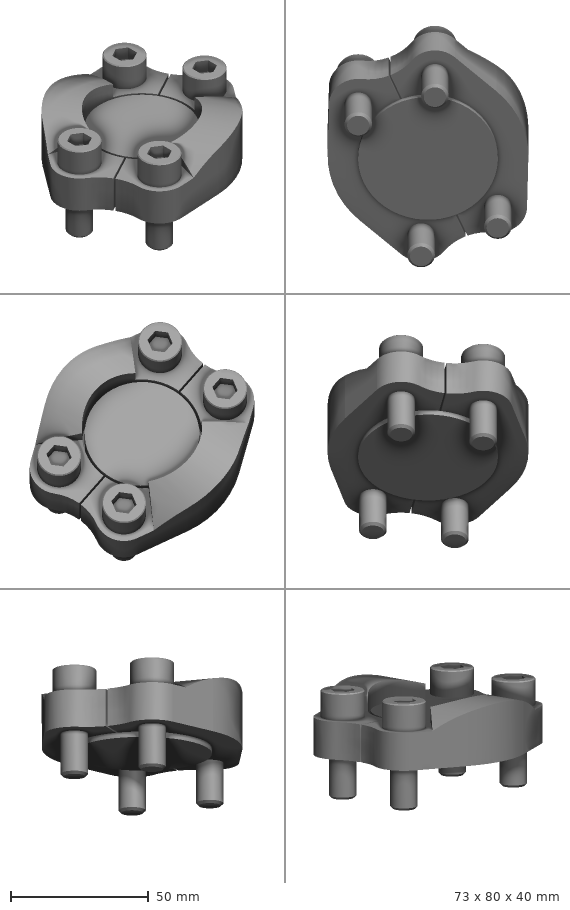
import cadquery as cq
import math

plate_height = 14.0
outer_radius = 36.5
slit_width = 0.8
bore_radius = 21.8

bolt_x = 15.1
bolt_y = 29.4
overall_length = 80.0
lug_radius = overall_length / 2 - bolt_y
waist_radius = 20.0

arch_height = 22.0
arch_radius = 52.0

rim_diameter = 50.8
rim_thickness = 2.0
neck_diameter = 41.7
collar_diameter = 44.0
collar_height = 4.9
collar_foot_diameter = 44.7
collar_foot_height = 1.5

shank_diameter = 10.0
shank_length = 16.0
shank_chamfer = 1.0
head_diameter = 16.0
head_height = 10.0
head_chamfer = 0.4
hex_across_flats = 8.0
hex_depth = 5.0


def outline():
    """Closed plate outline: side arcs, straight flanks, round lugs and concave waists."""
    bolt_distance = math.hypot(bolt_x, bolt_y)
    flank_angle = math.atan2(bolt_y, bolt_x) - math.acos((outer_radius - lug_radius) / bolt_distance)
    flank_cos = math.cos(flank_angle)
    flank_sin = math.sin(flank_angle)
    arc_x, arc_y = outer_radius * flank_cos, outer_radius * flank_sin
    lug_x, lug_y = bolt_x + lug_radius * flank_cos, bolt_y + lug_radius * flank_sin

    center_distance = lug_radius + waist_radius
    waist_center_y = bolt_y + math.sqrt(center_distance**2 - bolt_x**2)
    waist_x = bolt_x * waist_radius / center_distance
    waist_y = bolt_y + (waist_center_y - bolt_y) * lug_radius / center_distance
    waist_low_y = waist_center_y - waist_radius
    lug_top_y = bolt_y + lug_radius

    return (
        cq.Workplane("XY")
        .moveTo(arc_x, -arc_y)
        .threePointArc((outer_radius, 0), (arc_x, arc_y))
        .lineTo(lug_x, lug_y)
        .threePointArc((bolt_x, lug_top_y), (waist_x, waist_y))
        .threePointArc((0, waist_low_y), (-waist_x, waist_y))
        .threePointArc((-bolt_x, lug_top_y), (-lug_x, lug_y))
        .lineTo(-arc_x, arc_y)
        .threePointArc((-outer_radius, 0), (-arc_x, -arc_y))
        .lineTo(-lug_x, -lug_y)
        .threePointArc((-bolt_x, -lug_top_y), (-waist_x, -waist_y))
        .threePointArc((0, -waist_low_y), (waist_x, -waist_y))
        .threePointArc((bolt_x, -lug_top_y), (lug_x, -lug_y))
        .close()
    )


def shoulders():
    """Arched material inside the two 90 degree sectors that face +X and -X."""
    reach = 2 * outer_radius
    sectors = (
        cq.Workplane("XY")
        .polyline([(0, 0), (reach, reach), (reach, -reach)])
        .close()
        .polyline([(0, 0), (-reach, reach), (-reach, -reach)])
        .close()
        .extrude(arch_height)
    )
    arch = (
        cq.Workplane("YZ")
        .center(0, arch_height - arch_radius)
        .circle(arch_radius)
        .extrude(reach, both=True)
    )
    return outline().extrude(arch_height).intersect(sectors).intersect(arch)


def split_flange():
    """Plate with shoulders, bored through and cut into two halves."""
    bore = cq.Workplane("XY").circle(bore_radius).extrude(arch_height)
    slit = cq.Workplane("XY").rect(slit_width, overall_length).extrude(arch_height)
    return outline().extrude(plate_height).union(shoulders()).cut(bore).cut(slit)


def flange_head():
    """Turned head: wide rim, collar with a flared foot, and neck flush with the plate."""
    profile = (
        cq.Workplane("XZ")
        .moveTo(0, -rim_thickness)
        .lineTo(rim_diameter / 2, -rim_thickness)
        .lineTo(rim_diameter / 2, 0)
        .lineTo(collar_foot_diameter / 2, 0)
        .lineTo(collar_diameter / 2, collar_foot_height)
        .lineTo(collar_diameter / 2, collar_height)
        .lineTo(neck_diameter / 2, collar_height)
        .lineTo(neck_diameter / 2, plate_height)
        .lineTo(0, plate_height)
        .close()
    )
    return profile.revolve(360, (0, 0, 0), (0, 1, 0))


def bolt():
    """Socket head bolt on the Z axis, its head resting on the plate."""
    shank = (
        cq.Workplane("XY")
        .workplane(offset=-shank_length)
        .circle(shank_diameter / 2)
        .extrude(shank_length + plate_height)
        .faces("<Z")
        .chamfer(shank_chamfer)
    )
    head = (
        cq.Workplane("XY")
        .workplane(offset=plate_height)
        .circle(head_diameter / 2)
        .extrude(head_height)
        .faces(">Z")
        .chamfer(head_chamfer)
    )
    socket = (
        cq.Workplane("XY")
        .workplane(offset=plate_height + head_height - hex_depth)
        .transformed(rotate=(0, 0, 90))
        .polygon(6, hex_across_flats / math.cos(math.pi / 6))
        .extrude(hex_depth)
    )
    return shank.union(head).cut(socket)


result = split_flange().union(flange_head())
for x in (-bolt_x, bolt_x):
    for y in (-bolt_y, bolt_y):
        result = result.union(bolt().translate((x, y, 0)))